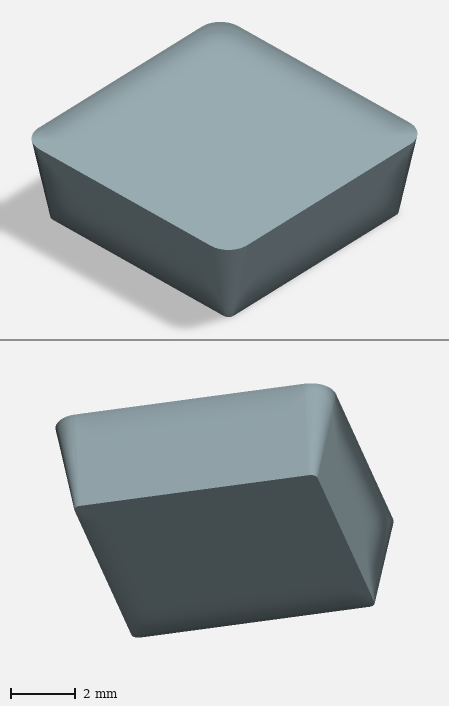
import cadquery as cq

edge_length = 8.91
thickness = 3.0
corner_radius = 0.8
clearance_angle = 11.0


def rounded_square(size, radius):
    """Square outline with rounded corners, centred on the origin."""
    return cq.Sketch().rect(size, size).vertices().fillet(radius)


result = (
    cq.Workplane("XY", origin=(0, 0, thickness))
    .placeSketch(rounded_square(edge_length, corner_radius))
    .extrude(-thickness, taper=clearance_angle)
)